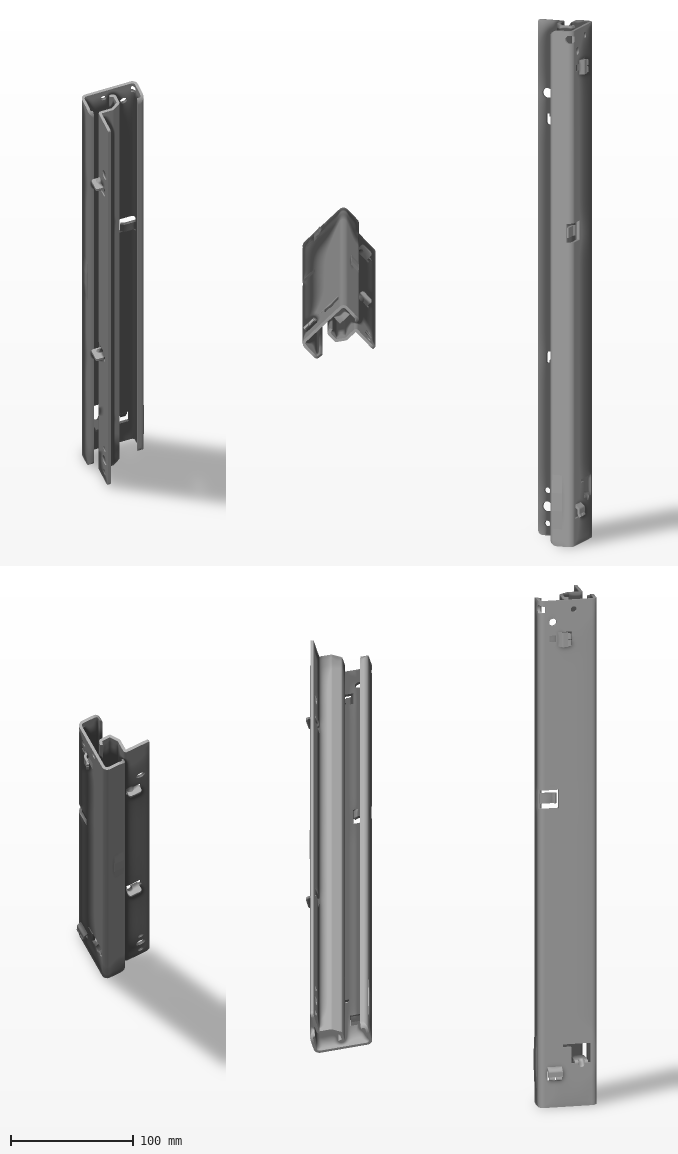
import cadquery as cq
import math

length = 430.0
sheet = 2.4
half_sheet = sheet / 2
rib_wall = 1.8
tab_bend = 1.6

channel_width = 48.9
half_width = channel_width / 2
channel_depth = 20.3
web_bend = 4.8
lip_bend = 3.6
lip_reach_front = 4.4
lip_reach_back = 6.0
flange_corner_radius = 7.0

pad_height = 0.65
pad_length = 45.0
pad_ramp = 15.0
pad_start = 9.0
pad_end = 17.5
pads = [(-1, 223.5), (1, 37.0)]

web_holes = [(12.9, 412.0, 6.3), (-4.6, 422.0, 5.0)]

bend_hole_x = 2.6
bend_hole_z = 423.0
bend_hole_diameter = 7.0
bend_hole_depth = 5.2

recess_y = 13.3
recess_z = 398.0
recess_size = 5.5
recess_depth = 1.0

hook_width = 12.0
hook_sheet = 2.0
hook_out = -2.7
hook_tip_out = -3.8
hook_bend = 1.2
hook_slope = 3.3
hook_length = 10.2
hook_flare = 2.6
hook_window = 11.7
hook_tip_reach = 4.43
hook_tip_width = 10.4
hook_notch_width = 1.3
hooks = [(8.5, 397.4, -90), (11.5, 34.2, 0)]

spring_z = 261.7
spring_window_height = 16.0
spring_window_low_y = 8.0
spring_window_flange_depth = 5.2
spring_width = 8.5
spring_x = 5.2
spring_knee_y = 12.5
spring_end_x = 3.6
spring_end_y = 9.5

shelf_window_top = 53.0
shelf_window_bottom = 36.0
shelf_window_back_y = -2.6
shelf_window_front_y = -18.8
shelf_slot_y = 4.5
shelf_slot_height = 2.8
shelf_y = -11.1
shelf_width = 11.0
shelf_end_x = 15.6
shelf_top = 38.6
shelf_rib_radius = 2.6
shelf_rib_reach = 5.8

plate_edge_x = 45.0
plate_back = -15.0
plate_front = plate_back - sheet
plate_y = plate_back - half_sheet
leg_x = 23.25
leg_top_y = -5.1
crown_x = 18.6
crown_y = 1.85
crown_end_x = 9.9
crown_lip_x = 8.7
crown_lip_y = -2.1
plate_top_corner = 1.5
plate_bottom_corner = 4.0

plate_hole_x = 36.9
plate_holes = [(369.0, 8.5), (37.5, 5.0), (24.0, 8.5), (9.8, 5.0)]

catch_left = 23.3
catch_right = 35.0
catch_front_y = -24.0
catch_corner = 2.0
catch_window_right = 37.5
catch_window_height = 9.5
catch_window_corner = 2.0
catch_rib_x = 26.8
catch_rib_radius = 2.2
catch_rib_reach = 5.5
catches = [(352.0, -1), (144.0, 1)]


def bent_strip(workplane, path, thickness, bend_radii, width):
    """Extrude a sheet section that follows a centreline path.

    There is one centreline bend radius per inner point. A radius of half the thickness
    leaves the inner side of that bend sharp.
    """
    points = [cq.Vector(x, y) for x, y in path]
    directions = [(end - start).normalized() for start, end in zip(points, points[1:])]
    normals = [cq.Vector(-d.y, d.x) for d in directions]

    def side_stops(offset):
        stops = [[points[0] + normals[0] * offset]]
        for i in range(1, len(points) - 1):
            bend_radius = bend_radii[i - 1]
            turn = directions[i - 1].getAngle(directions[i])
            sign = math.copysign(1, directions[i - 1].cross(directions[i]).z)
            setback = bend_radius * math.tan(turn / 2)
            start = points[i] - directions[i - 1] * setback
            end = points[i] + directions[i] * setback
            center = start + normals[i - 1] * (sign * bend_radius)
            middle = center + (points[i] - center).normalized() * (bend_radius - sign * offset)
            if math.isclose(bend_radius, sign * offset):
                stops.append([center])
            else:
                stops.append([start + normals[i - 1] * offset, middle, end + normals[i] * offset])
        stops.append([points[-1] + normals[-1] * offset])
        return stops

    left = side_stops(thickness / 2)
    right = [stop[::-1] for stop in reversed(side_stops(-thickness / 2))]
    outline = workplane.moveTo(left[0][0].x, left[0][0].y)
    for stop in left[1:] + right:
        outline = outline.lineTo(stop[0].x, stop[0].y)
        if len(stop) > 1:
            outline = outline.threePointArc(*[(p.x, p.y) for p in stop[1:]])
    return outline.close().extrude(width)


def block(x_range, y_range, z_range):
    """Box between two limits on each axis, given in either order."""
    spans = [sorted(limits) for limits in (x_range, y_range, z_range)]
    sizes = [high - low for low, high in spans]
    return cq.Workplane("XY").box(*sizes, centered=False).translate([low for low, high in spans])


def add_fold_rib(body, corner, along, beside, radius, reach, limit):
    """Press a stiffening trough across a fold, from its outer corner towards its inner corner.

    The two sheets leave the outer corner in the directions `along` and `beside`.
    `limit` is a block that keeps the raised inner side of the trough within the fold.
    """
    corner, along, beside = cq.Vector(corner), cq.Vector(along), cq.Vector(beside)
    run = (along - beside).normalized()
    inward = (along + beside).normalized()
    half_run = 4 * reach
    start = corner + inward * (reach / math.sqrt(2) - radius) - run * half_run
    raised = cq.Solid.makeCylinder(radius + rib_wall, 2 * half_run, start, run)
    hollow = cq.Solid.makeCylinder(radius, 2 * half_run, start, run)
    return body.union(limit.intersect(cq.Workplane(raised))).cut(cq.Workplane(hollow))



def channel_section():
    flange_y = half_width - half_sheet
    lip_x = channel_depth - half_sheet
    path = [
        (lip_x, lip_reach_front - half_width),
        (lip_x, -flange_y),
        (half_sheet, -flange_y),
        (half_sheet, flange_y),
        (lip_x, flange_y),
        (lip_x, half_width - lip_reach_back),
    ]
    bend_radii = [outer - half_sheet for outer in (lip_bend, web_bend, web_bend, lip_bend)]
    return bent_strip(cq.Workplane("XY"), path, sheet, bend_radii, length)


def flange_corner(end_z, into):
    """Cutter that rounds the corners of both flanges at one end of the channel."""
    radius = flange_corner_radius
    center = (channel_depth - radius, end_z + into * radius)
    diagonal = radius / math.sqrt(2)
    return (
        cq.Workplane("XZ", origin=(0, half_width, 0))
        .moveTo(channel_depth, end_z)
        .lineTo(center[0], end_z)
        .threePointArc((center[0] + diagonal, center[1] - into * diagonal), (channel_depth, center[1]))
        .close()
        .extrude(channel_width)
    )


def stop_pad(side, center_z):
    root_y = side * (half_width - half_sheet)
    base_y = side * half_width
    top_y = side * (half_width + pad_height)
    end = pad_length / 2
    flat = end - pad_ramp
    outline = [(root_y, -end), (base_y, -end), (top_y, -flat), (top_y, flat), (base_y, end), (root_y, end)]
    pad = cq.Workplane("YZ", origin=(pad_start, 0, center_z)).polyline(outline).close()
    return pad.extrude(pad_end - pad_start)


def hook():
    """Hook that points down, its root at the origin.

    It slopes out of the web, runs along it and flares out to a narrowed, notched tip.
    """
    path = [
        (half_sheet, 0),
        (hook_out, -hook_slope),
        (hook_out, hook_flare - hook_length),
        (hook_tip_out, -hook_length),
    ]
    edge = hook_width / 2
    plane = cq.Workplane("XZ", origin=(0, edge, 0))
    strip = bent_strip(plane, path, hook_sheet, [hook_bend, hook_bend], hook_width)
    reach_limit = block((-hook_tip_reach, sheet), (-edge, edge), (hook_sheet, -hook_window))
    strip = strip.intersect(reach_limit)
    flare_cuts = [
        (-edge, -hook_tip_width / 2),
        (-hook_notch_width / 2, hook_notch_width / 2),
        (hook_tip_width / 2, edge),
    ]
    for y_range in flare_cuts:
        strip = strip.cut(block((-hook_tip_reach, 0), y_range, (hook_flare - hook_length, -hook_window)))
    return strip


def hook_window_cutter():
    return block((0, sheet), (-hook_width / 2, hook_width / 2), (0, -hook_window))


channel = channel_section()
for end_z, into in ((0, 1), (length, -1)):
    channel = channel.cut(flange_corner(end_z, into))
for side, center_z in pads:
    channel = channel.union(stop_pad(side, center_z))

for y, z, diameter in web_holes:
    channel = channel.cut(cq.Workplane("YZ").center(y, z).circle(diameter / 2).extrude(sheet))
channel = channel.cut(
    cq.Workplane("XZ", origin=(bend_hole_x, half_width, bend_hole_z))
    .circle(bend_hole_diameter / 2)
    .extrude(bend_hole_depth)
)
channel = channel.cut(
    cq.Workplane("YZ").center(recess_y, recess_z).rect(recess_size, recess_size).extrude(recess_depth)
)

for root_y, root_z, turn in hooks:
    window, lance = [
        shape.rotate((0, 0, 0), (1, 0, 0), turn).translate((0, root_y, root_z))
        for shape in (hook_window_cutter(), hook())
    ]
    channel = channel.cut(window).union(lance)

spring_window = block(
    (0, spring_window_flange_depth),
    (spring_window_low_y, half_width),
    (spring_z - spring_window_height / 2, spring_z + spring_window_height / 2),
)
spring_path = [(spring_x, half_width - half_sheet), (spring_x, spring_knee_y), (spring_end_x, spring_end_y)]
spring_plane = cq.Workplane("XY", origin=(0, 0, spring_z - spring_width / 2))
spring = bent_strip(spring_plane, spring_path, sheet, [tab_bend], spring_width)
channel = channel.cut(spring_window).union(spring)

shelf_back = shelf_y + shelf_width / 2
shelf_front = shelf_y - shelf_width / 2
shelf_window = block(
    (0, sheet),
    (shelf_window_front_y, shelf_window_back_y),
    (shelf_window_bottom, shelf_window_top),
)
shelf_slot = block(
    (0, sheet),
    (shelf_window_back_y, shelf_slot_y),
    (shelf_window_top - shelf_slot_height, shelf_window_top),
)
shelf_level = shelf_top - half_sheet
shelf_path = [(half_sheet, shelf_level - sheet), (half_sheet, shelf_level), (shelf_end_x, shelf_level)]
shelf_plane = cq.Workplane("XZ", origin=(0, shelf_back, 0))
shelf = bent_strip(shelf_plane, shelf_path, sheet, [tab_bend], shelf_width)
channel = channel.cut(shelf_window).cut(shelf_slot).union(shelf)
shelf_rib_limit = block(
    (half_sheet, shelf_end_x),
    (shelf_front, shelf_back),
    (shelf_level, shelf_level - shelf_end_x),
)
channel = add_fold_rib(
    channel,
    (0, shelf_y, shelf_top),
    (1, 0, 0),
    (0, 0, -1),
    shelf_rib_radius,
    shelf_rib_reach,
    shelf_rib_limit,
)



def rail_section():
    path = [
        (plate_edge_x, plate_y),
        (leg_x, plate_y),
        (leg_x, leg_top_y),
        (crown_x, crown_y),
        (crown_end_x, crown_y),
        (crown_lip_x, crown_lip_y),
    ]
    sharp_inside = [half_sheet] * (len(path) - 2)
    return bent_strip(cq.Workplane("XY"), path, sheet, sharp_inside, length)


rail = rail_section()
rail = rail.edges(">X and |Y and >Z").fillet(plate_top_corner)
rail = rail.edges(">X and |Y and <Z").fillet(plate_bottom_corner)
for z, diameter in plate_holes:
    hole_plane = cq.Workplane("XZ", origin=(plate_hole_x, plate_back, z))
    rail = rail.cut(hole_plane.circle(diameter / 2).extrude(sheet))


def catch_window(fold_z, into):
    far_z = fold_z + into * catch_window_height
    window = block((catch_left, catch_window_right), (plate_front, plate_back), (fold_z, far_z))
    far_corner = ">X and |Y and <Z" if into < 0 else ">X and |Y and >Z"
    return window.edges(far_corner).fillet(catch_window_corner)


def catch_tab(fold_z, into):
    tab = block((catch_left, catch_right), (catch_front_y, plate_back), (fold_z, fold_z + into * sheet))
    return tab.edges("<Y and |Z").fillet(catch_corner)


for fold_z, into in catches:
    rail = rail.cut(catch_window(fold_z, into)).union(catch_tab(fold_z, into))
    outer_z = fold_z + into * sheet
    rib_limit = block(
        (catch_left, catch_right),
        (plate_y, catch_front_y),
        (fold_z + into * half_sheet, fold_z - into * catch_window_height),
    )
    rail = add_fold_rib(
        rail,
        (catch_rib_x, plate_back, outer_z),
        (0, -1, 0),
        (0, 0, -into),
        catch_rib_radius,
        catch_rib_reach,
        rib_limit,
    )

result = cq.Compound.makeCompound([channel.val(), rail.val()])